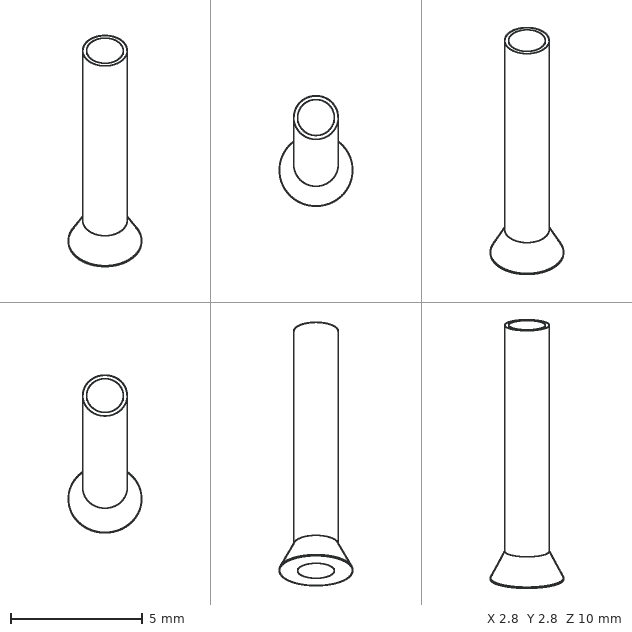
import cadquery as cq

total_height = 10.0
tube_diameter = 1.7
bore_diameter = 1.4

foot_diameter = 2.8
foot_height = 1.1
rim_height = 0.05

tube_radius = tube_diameter / 2
bore_radius = bore_diameter / 2
foot_radius = foot_diameter / 2

wall_section = (
    cq.Workplane("XZ")
    .moveTo(bore_radius, 0)
    .lineTo(foot_radius, 0)
    .lineTo(foot_radius, rim_height)
    .lineTo(tube_radius, foot_height)
    .lineTo(tube_radius, total_height)
    .lineTo(bore_radius, total_height)
    .close()
)

result = wall_section.revolve(360, (0, 0, 0), (0, 1, 0))